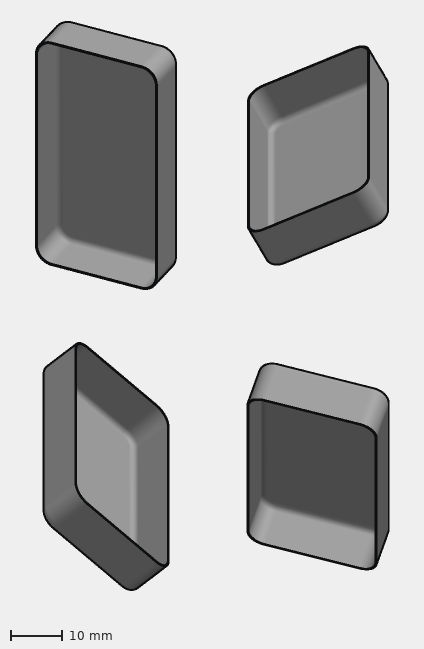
import cadquery as cq

width = 26.5
depth = 9.5
height = 51.3

wall = 0.3
corner_radius = 3.5
floor_edge_radius = 1.5


def rounded_block(inset):
    """Block with rounded corners and floor edge, inset on all sides but the open one."""
    block = cq.Workplane("XY").box(width - 2 * inset, depth - inset, height - 2 * inset)
    block = block.translate((0, -inset / 2, 0))
    block = block.edges("|Y").fillet(corner_radius - inset)
    return block.faces(">Y").edges().fillet(floor_edge_radius - inset)


result = rounded_block(0).cut(rounded_block(wall))